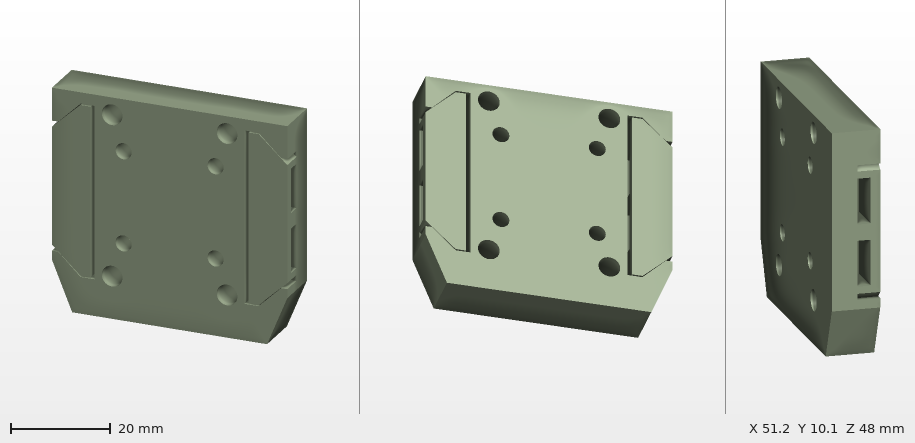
import cadquery as cq


width = 51.2
height = 48.0
thickness = 10.1
top_above_center = 21.25
corner_cut_width = 4.4
corner_cut_height = 10.7

hole_patterns = [
    (4.5, 25.0, 35.0),
    (3.5, 20.0, 20.0),
]

pocket_depth = 4.7
pocket_inner_x = 16.3
pocket_half_height = 18.8
pocket_mouth_half_height = 14.1
pocket_slope_inner_x = 19.35
pocket_slope_outer_x = 24.25

insert_inner_gap = 0.9
insert_inner_x = pocket_inner_x + insert_inner_gap
insert_half_height = 18.5
insert_side_half_height = 12.8
insert_slope_inner_x = 19.4

slot_height = 9.6
slot_depth = 2.7
slot_spacing = 13.0

side_x = width / 2
top_z = top_above_center
bottom_z = top_z - height


def extrude_back(outline, depth):
    """Extrude a closed XZ outline from the front face towards +Y."""
    return cq.Workplane("XZ").polyline(outline).close().extrude(-depth)


def mirrored_outline(upper_points, side):
    """Complete an upper half outline below Z = 0 and place it on the given side (-1 or 1)."""
    lower_points = [(x, -z) for x, z in reversed(upper_points)]
    return [(side * x, z) for x, z in upper_points + lower_points]


def make_pocket(side):
    upper_points = [
        (pocket_inner_x, pocket_half_height),
        (pocket_slope_inner_x, pocket_half_height),
        (pocket_slope_outer_x, pocket_mouth_half_height),
        (side_x, pocket_mouth_half_height),
    ]
    return extrude_back(mirrored_outline(upper_points, side), pocket_depth)


def make_housing():
    outline = [
        (-side_x, top_z),
        (side_x, top_z),
        (side_x, bottom_z + corner_cut_height),
        (side_x - corner_cut_width, bottom_z),
        (corner_cut_width - side_x, bottom_z),
        (-side_x, bottom_z + corner_cut_height),
    ]
    body = extrude_back(outline, thickness)
    for diameter, spacing_x, spacing_z in hole_patterns:
        holes = (
            cq.Workplane("XZ")
            .rect(spacing_x, spacing_z, forConstruction=True)
            .vertices()
            .circle(diameter / 2)
            .extrude(-thickness)
        )
        body = body.cut(holes)
    for side in (-1, 1):
        body = body.cut(make_pocket(side))
    return body


def make_insert(side):
    upper_points = [
        (insert_inner_x, insert_half_height),
        (insert_slope_inner_x, insert_half_height),
        (side_x, insert_side_half_height),
    ]
    body = extrude_back(mirrored_outline(upper_points, side), pocket_depth)
    insert_width = side_x - insert_inner_x
    slot_center_x = side * (side_x + insert_inner_x) / 2
    slot_center_y = pocket_depth - slot_depth / 2
    for slot_z in (-slot_spacing / 2, slot_spacing / 2):
        slot = cq.Workplane("XY").box(insert_width, slot_depth, slot_height)
        body = body.cut(slot.translate((slot_center_x, slot_center_y, slot_z)))
    return body


housing = make_housing()
inserts = [make_insert(side) for side in (-1, 1)]

result = cq.Compound.makeCompound([housing.val(), *[insert.val() for insert in inserts]])